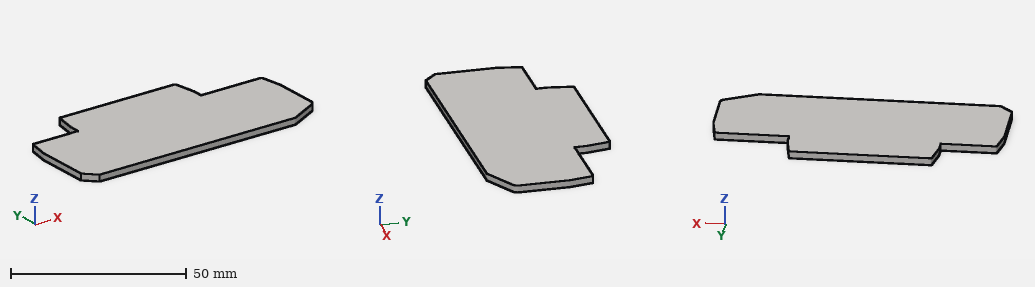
import cadquery as cq
import math

length = 83.75
width = 39.9
thickness = 2.2

shoulder_y = 29.1
tab_left = 17.4
tab_right = 61.05

taper_height = 7.3
taper_angle = 10.0
taper_inset = taper_height * math.tan(math.radians(taper_angle))

chamfer = 3.8
slope_start_x = 73.2
slope_end_y = 5.6

top_radius = 0.5
slope_start_radius = 1.0
slope_end_radius = 2.0


def make_plate():
    """Extrude the stepped outline, starting at the left end of the -Y edge."""
    outline = [
        (chamfer, 0),
        (slope_start_x, 0),
        (length, slope_end_y),
        (length, shoulder_y - taper_height),
        (length - taper_inset, shoulder_y),
        (tab_right, shoulder_y),
        (tab_right, width - taper_height),
        (tab_right - taper_inset, width),
        (tab_left + taper_inset, width),
        (tab_left, width - taper_height),
        (tab_left, shoulder_y),
        (taper_inset, shoulder_y),
        (0, shoulder_y - taper_height),
        (0, chamfer),
    ]
    return cq.Workplane("XY").polyline(outline).close().extrude(thickness)


def round_corners(plate, corners, radius):
    """Fillet the vertical edge nearest to each given corner."""
    for x, y in corners:
        nearest = cq.selectors.NearestToPointSelector((x, y, thickness / 2))
        plate = plate.edges("|Z").edges(nearest).fillet(radius)
    return plate


top_corners = [
    (taper_inset, shoulder_y),
    (length - taper_inset, shoulder_y),
    (tab_left + taper_inset, width),
    (tab_right - taper_inset, width),
]

result = make_plate()
result = round_corners(result, top_corners, top_radius)
result = round_corners(result, [(slope_start_x, 0)], slope_start_radius)
result = round_corners(result, [(length, slope_end_y)], slope_end_radius)